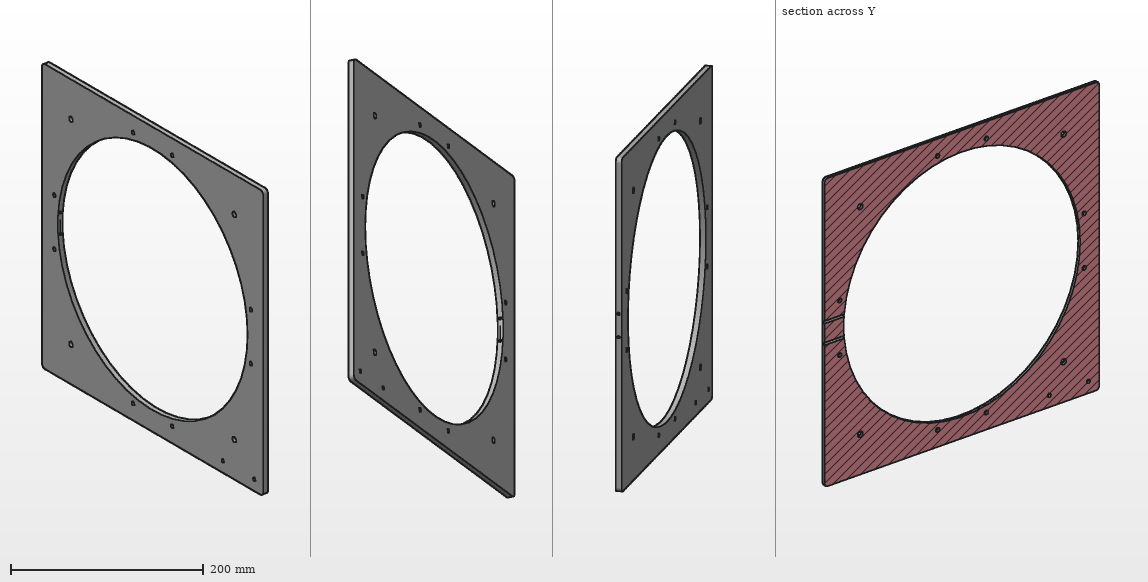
import cadquery as cq

plate_side = 362.0
plate_thickness = 6.5
corner_radius = 5.0
bore_diameter = 310.2

rim_hole_diameter = 4.5
rim_hole_offset = 160.7
rim_hole_half_spacing = 32.05

mount_hole_diameter = 6.0
mount_hole_offset = 133.5

lower_hole_diameter = 4.0
lower_hole_xs = (114.7, 166.0)
lower_hole_z = -167.0

edge_hole_diameter = 2.5
edge_hole_half_spacing = 12.5

SIGNS = (-1, 1)


def through_holes(points, diameter):
    """Cylinders through the plate thickness, at (x, z) points."""
    return (
        cq.Workplane("XZ")
        .pushPoints(points)
        .circle(diameter / 2)
        .extrude(plate_thickness, both=True)
    )


def make_plate():
    """Square plate with rounded corners."""
    return (
        cq.Workplane("XY")
        .box(plate_side, plate_thickness, plate_side)
        .edges("|Y")
        .fillet(corner_radius)
    )


def rim_hole_points():
    """The hole pairs at the top and bottom, then at the two sides."""
    points = []
    for side in SIGNS:
        for end in SIGNS:
            across = side * rim_hole_offset
            along = end * rim_hole_half_spacing
            points.append((along, across))
            points.append((across, along))
    return points


def edge_holes():
    """Cylinders along X, from the -X edge to the middle of the bore."""
    return (
        cq.Workplane("YZ", origin=(-plate_side / 2, 0, 0))
        .pushPoints([(0, end * edge_hole_half_spacing) for end in SIGNS])
        .circle(edge_hole_diameter / 2)
        .extrude(plate_side / 2)
    )


mount_points = [(i * mount_hole_offset, j * mount_hole_offset) for i in SIGNS for j in SIGNS]
lower_points = [(x, lower_hole_z) for x in lower_hole_xs]

result = (
    make_plate()
    .cut(through_holes([(0, 0)], bore_diameter))
    .cut(through_holes(rim_hole_points(), rim_hole_diameter))
    .cut(through_holes(mount_points, mount_hole_diameter))
    .cut(through_holes(lower_points, lower_hole_diameter))
    .cut(edge_holes())
)